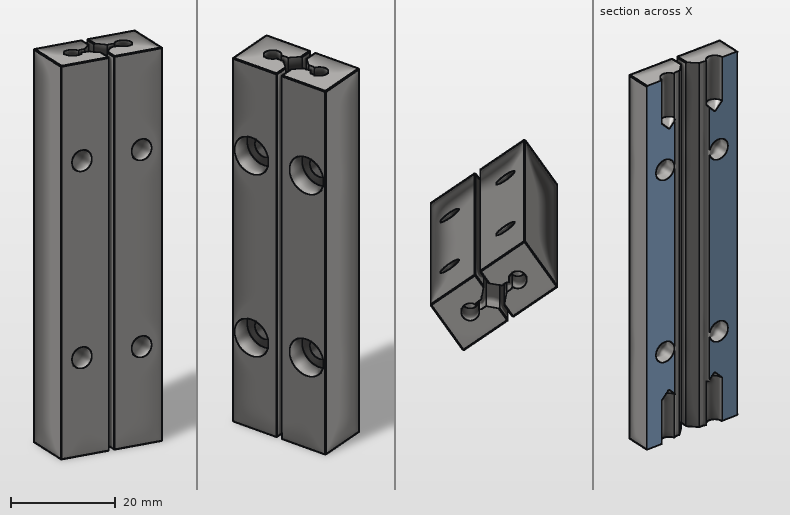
import cadquery as cq
import math

length = 80.0
thickness = 11.0
pair_width = 22.0
gap = 1.0
rail_width = (pair_width - gap) / 2
edge_chamfer = 0.18

vee_reach = 3.2
relief_width = 1.6
relief_radius = relief_width / 2
relief_depth = 4.1

bolt_diameter = 4.3
counterbore_diameter = 8.0
counterbore_depth = 4.1
bolt_spacing_y = 13.0
bolt_spacing_z = 40.0

end_hole_diameter = 3.4
end_hole_spacing = 11.0
end_hole_depth = 9.6
drill_point_angle = 90.0


def raceway_cutter():
    """45 degree V-groove with a round-bottomed relief slot, running the full length."""
    mouth_half = vee_reach - gap / 2
    slot_mouth_y = vee_reach - relief_radius
    slot_arc_y = relief_depth - relief_radius
    return (
        cq.Workplane("XY")
        .moveTo(-mouth_half, gap / 2)
        .lineTo(-relief_radius, slot_mouth_y)
        .lineTo(-relief_radius, slot_arc_y)
        .threePointArc((0, relief_depth), (relief_radius, slot_arc_y))
        .lineTo(relief_radius, slot_mouth_y)
        .lineTo(mouth_half, gap / 2)
        .close()
        .extrude(length)
    )


def bolt_hole_cutter(z):
    """Through hole along X with its counterbore on the -X face."""
    face = cq.Workplane("YZ", origin=(-thickness / 2, bolt_spacing_y / 2, z))
    through_hole = face.circle(bolt_diameter / 2).extrude(thickness)
    counterbore = face.circle(counterbore_diameter / 2).extrude(counterbore_depth)
    return through_hole.union(counterbore)


def end_hole_cutter():
    """Blind hole with a conical drill point, entering the top end face."""
    radius = end_hole_diameter / 2
    point_height = radius / math.tan(math.radians(drill_point_angle / 2))
    floor_z = length - end_hole_depth
    return (
        cq.Workplane("XZ")
        .moveTo(0, length)
        .lineTo(radius, length)
        .lineTo(radius, floor_z)
        .lineTo(0, floor_z - point_height)
        .close()
        .revolve(360, (0, 0), (0, 1))
        .translate((0, end_hole_spacing / 2, 0))
    )


def make_rail():
    """Rail on the +Y side, standing on Z = 0."""
    block = cq.Workplane("XY").box(thickness, rail_width, length, centered=(True, False, False))
    block = block.edges().chamfer(edge_chamfer)
    rail = block.translate((0, gap / 2, 0)).cut(raceway_cutter())
    for side in (-1, 1):
        rail = rail.cut(bolt_hole_cutter(length / 2 + side * bolt_spacing_z / 2))
    top_end_hole = end_hole_cutter()
    bottom_end_hole = top_end_hole.mirror("XY", (0, 0, length / 2))
    return rail.cut(top_end_hole).cut(bottom_end_hole)


rails = []
for is_mirrored in (False, True):
    rail = make_rail()
    if is_mirrored:
        rail = rail.mirror("XZ")
    rails.append(rail.solids().val())

result = cq.Compound.makeCompound(rails)